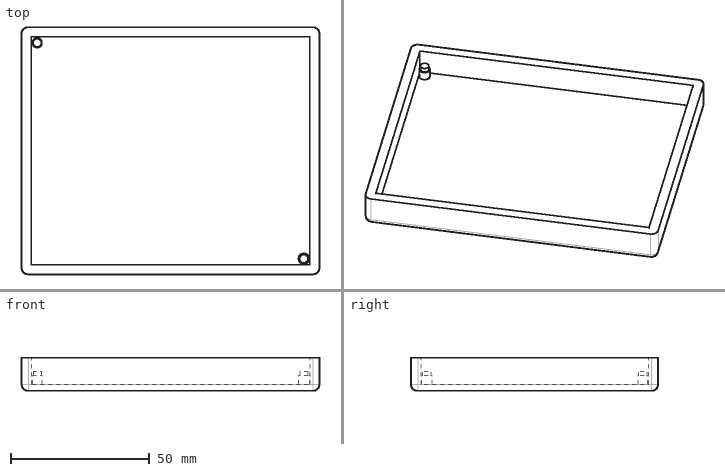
import cadquery as cq

length = 107.5
width = 89.2
height = 12.0
wall = 3.5
floor = 2.4
edge_radius = 2.5

base_height = 3.2
pin_height = 1.6
pin_diameter = 3.0
small_base_diameter = 3.4
large_base_diameter = 3.9
peg_inset = 2.2

cavity_length = length - 2 * wall
cavity_width = width - 2 * wall


def make_tray():
    """Open tray with rounded outer corners, a rounded bottom edge and a sharp cavity."""
    body = cq.Workplane("XY").box(length, width, height, centered=(True, True, False))
    body = body.edges("|Z").fillet(edge_radius)
    body = body.faces("<Z").edges().fillet(edge_radius)
    cavity = (
        cq.Workplane("XY", origin=(0, 0, floor))
        .rect(cavity_length, cavity_width)
        .extrude(height - floor)
    )
    return body.cut(cavity)


def make_peg(x_side, y_side, base_diameter):
    """Peg with a narrower pin on top, in the corner given by the signs x_side and y_side."""
    x = x_side * (cavity_length / 2 - peg_inset)
    y = y_side * (cavity_width / 2 - peg_inset)
    base = cq.Workplane("XY", origin=(x, y, floor)).circle(base_diameter / 2).extrude(base_height)
    return base.faces(">Z").workplane().circle(pin_diameter / 2).extrude(pin_height)


small_peg = make_peg(-1, 1, small_base_diameter)
large_peg = make_peg(1, -1, large_base_diameter)
result = make_tray().union(small_peg).union(large_peg)